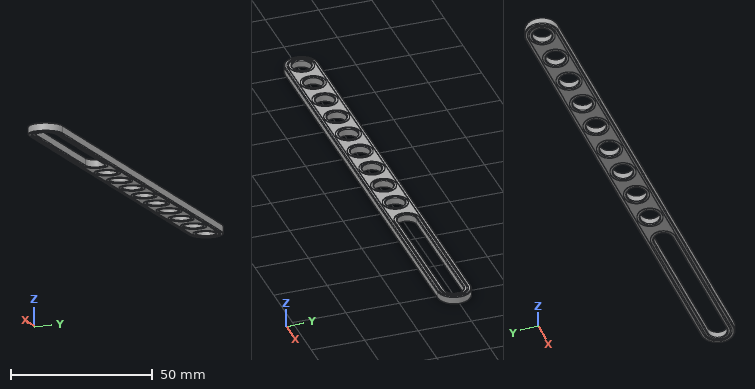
import cadquery as cq

length = 175.0
pitch = length / 14
width = pitch
thickness = pitch / 4

bore_diameter = 7.0
border_width = 1.1
collar_diameter = bore_diameter + 2 * border_width
recess_depth = 0.21
edge_chamfer = 0.3

hole_count = 9
end_center = (length - width) / 2
hole_centers = [(-end_center + i * pitch, 0) for i in range(hole_count)]
slot_start = -end_center + hole_count * pitch
slot_span = end_center - slot_start
slot_middle = (slot_start + end_center) / 2


def bar(bar_width, height, bottom):
    """Round-ended bar whose end arcs are centered on the two end centers."""
    return (
        cq.Workplane("XY")
        .workplane(offset=bottom)
        .slot2D(2 * end_center + bar_width, bar_width)
        .extrude(height)
    )


def opening_shapes(diameter, height, bottom):
    """Cylinders at the hole centers and a round-ended block at the slot."""
    plane = cq.Workplane("XY").workplane(offset=bottom)
    cylinders = plane.pushPoints(hole_centers).circle(diameter / 2).extrude(height)
    slot = plane.center(slot_middle, 0).slot2D(slot_span + diameter, diameter).extrude(height)
    return cylinders.union(slot)


def recess(bottom):
    """Shallow pocket inside the outer border that leaves collars around the openings."""
    pocket = bar(width - 2 * border_width, recess_depth, bottom)
    return pocket.cut(opening_shapes(collar_diameter, recess_depth, bottom))


body = bar(width, thickness, 0).cut(opening_shapes(bore_diameter, thickness, 0))
body = body.faces(">Z or <Z").chamfer(edge_chamfer)

for recess_bottom in (0, thickness - recess_depth):
    body = body.cut(recess(recess_bottom))

result = body